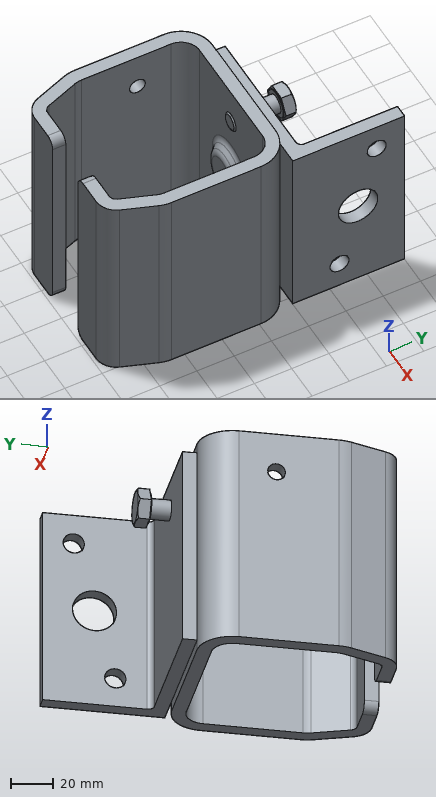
import cadquery as cq
import math

CHANNEL_WIDTH = 96.0
CHANNEL_DEPTH = 96.0
CHANNEL_HEIGHT = 110.0
THICKNESS = 7.0

BACK_OUTER_RADIUS = 17.0
SIDE_BEND_START = 30.9
SIDE_BEND_RADIUS = 17.8
LEAN_ANGLE = 20.0
LIP_OUTER_RADIUS = 10.9
MOUTH_WIDTH = 24.8
LIP_CORNER_RADIUS = 5.0

SIDE_HOLE_DIAMETER = 8.5
SIDE_HOLE_Y = 61.0
DIMPLE_FLAT_DIAMETER = 19.3
DIMPLE_BEND_RADIUS = 4.7
DIMPLE_CONE_WIDTH = 2.2

BRACKET_HEIGHT = 100.0
BRACKET_BASE = 79.5
BRACKET_LEG = 60.0
BRACKET_FILLET = 3.0
MOUNT_HOLE_DIAMETER = 10.1
MOUNT_HOLE_MARGIN = 15.0
MOUNT_HOLE_PITCH_Y = 20.0
CENTRE_HOLE_DIAMETER = 21.0

BOLT_DIAMETER = 10.0
BOLT_Z = 35.0
BOLT_TIP_CHAMFER = 0.8
HEAD_FLATS = 16.0
HEAD_HEIGHT = 6.7
HEAD_GAP = 10.0
WASHER_FACE_DIAMETER = 14.7
WASHER_FACE_HEIGHT = 0.5
HEAD_BEVEL_DIAMETER = 15.8
HEAD_BEVEL_ANGLE = 30.0

SELECT_MARGIN = 0.2

INNER_BACK_Y = CHANNEL_DEPTH - THICKNESS
BRACKET_INNER_Y = CHANNEL_DEPTH + THICKNESS
RIGHT_X = CHANNEL_WIDTH / 2


def y_cylinder(diameter, y_start, y_end, z):
    """Cylinder along Y at X = 0 between two Y positions."""
    return cq.Workplane(cq.Solid.makeCylinder(
        diameter / 2, y_end - y_start, cq.Vector(0, y_start, z), cq.Vector(0, 1, 0)))


def x_cylinder(diameter, x_start, length, y, z):
    """Cylinder along +X."""
    return cq.Workplane(cq.Solid.makeCylinder(
        diameter / 2, length, cq.Vector(x_start, y, z), cq.Vector(1, 0, 0)))


def rounded_envelope(inset):
    """Closed channel section inset from the outside and extruded over the full height."""
    lean = math.radians(LEAN_ANGLE)
    side_x = RIGHT_X - inset
    knee_y = SIDE_BEND_START - (SIDE_BEND_RADIUS - inset) * math.tan(lean / 2)
    front_x = side_x - (knee_y - inset) * math.tan(lean)
    back_y = CHANNEL_DEPTH - inset
    body = (
        cq.Workplane("XY")
        .polyline([
            (-front_x, inset), (front_x, inset), (side_x, knee_y),
            (side_x, back_y), (-side_x, back_y), (-side_x, knee_y),
        ])
        .close()
        .extrude(CHANNEL_HEIGHT / 2, both=True)
    )

    for y, radius in (
        (back_y, BACK_OUTER_RADIUS), (knee_y, SIDE_BEND_RADIUS), (inset, LIP_OUTER_RADIUS),
    ):
        bend_edges = cq.selectors.BoxSelector(
            (-CHANNEL_WIDTH, y - SELECT_MARGIN, -1.5), (CHANNEL_WIDTH, y + SELECT_MARGIN, 1.5))
        body = body.edges("|Z").edges(bend_edges).fillet(radius - inset)
    return body


def make_dimple():
    """Raised round boss with a 45 degree flank and rounded top and foot."""
    slope = math.radians(45)
    bend_run = DIMPLE_BEND_RADIUS * math.sin(slope)
    bend_drop = DIMPLE_BEND_RADIUS * (1 - math.cos(slope))
    half_run = DIMPLE_BEND_RADIUS * math.sin(slope / 2)
    half_drop = DIMPLE_BEND_RADIUS * (1 - math.cos(slope / 2))
    flat_radius = DIMPLE_FLAT_DIAMETER / 2
    cone_top = flat_radius + bend_run
    cone_foot = cone_top + DIMPLE_CONE_WIDTH
    foot_radius = cone_foot + bend_run
    top_y = INNER_BACK_Y - DIMPLE_CONE_WIDTH - 2 * bend_drop
    embed_y = INNER_BACK_Y + THICKNESS / 2
    return (
        cq.Workplane("XY")
        .moveTo(0, top_y)
        .lineTo(flat_radius, top_y)
        .threePointArc((flat_radius + half_run, top_y + half_drop), (cone_top, top_y + bend_drop))
        .lineTo(cone_foot, INNER_BACK_Y - bend_drop)
        .threePointArc((foot_radius - half_run, INNER_BACK_Y - half_drop), (foot_radius, INNER_BACK_Y))
        .lineTo(foot_radius, embed_y)
        .lineTo(0, embed_y)
        .close()
        .revolve(360, (0, 0, 0), (0, 1, 0))
    )


def make_channel():
    """C-shaped rail with a mouth at the front, a side hole, a bolt hole and a dimple."""
    mouth = cq.Workplane("XY").box(MOUTH_WIDTH, 3 * THICKNESS, CHANNEL_HEIGHT)
    channel = rounded_envelope(0).cut(rounded_envelope(THICKNESS)).cut(mouth)
    half_mouth = MOUTH_WIDTH / 2
    lip_corners = cq.selectors.BoxSelector(
        (-half_mouth - SELECT_MARGIN, -SELECT_MARGIN, -CHANNEL_HEIGHT),
        (half_mouth + SELECT_MARGIN, THICKNESS + SELECT_MARGIN, CHANNEL_HEIGHT))
    channel = channel.edges("|Y").edges(lip_corners).fillet(LIP_CORNER_RADIUS)
    side_hole = x_cylinder(SIDE_HOLE_DIAMETER, -RIGHT_X, THICKNESS, SIDE_HOLE_Y, BOLT_Z)
    bolt_hole = y_cylinder(BOLT_DIAMETER, INNER_BACK_Y, CHANNEL_DEPTH, z=BOLT_Z)
    return channel.union(make_dimple()).cut(side_hole).cut(bolt_hole)


def make_bracket():
    """L-shaped bracket lying on the back of the channel."""
    left_x = RIGHT_X - BRACKET_BASE
    leg_x = RIGHT_X - THICKNESS
    end_y = CHANNEL_DEPTH + BRACKET_LEG
    bracket = (
        cq.Workplane("XY")
        .moveTo(left_x, CHANNEL_DEPTH)
        .lineTo(RIGHT_X, CHANNEL_DEPTH)
        .lineTo(RIGHT_X, end_y)
        .lineTo(leg_x, end_y)
        .lineTo(leg_x, BRACKET_INNER_Y + BRACKET_FILLET)
        .radiusArc((leg_x - BRACKET_FILLET, BRACKET_INNER_Y), BRACKET_FILLET)
        .lineTo(left_x, BRACKET_INNER_Y)
        .close()
        .extrude(BRACKET_HEIGHT / 2, both=True)
    )
    upper_y = end_y - MOUNT_HOLE_MARGIN
    mount_z = BRACKET_HEIGHT / 2 - MOUNT_HOLE_MARGIN
    leg_holes = (
        (MOUNT_HOLE_DIAMETER, upper_y, mount_z),
        (CENTRE_HOLE_DIAMETER, upper_y - MOUNT_HOLE_PITCH_Y / 2, 0),
        (MOUNT_HOLE_DIAMETER, upper_y - MOUNT_HOLE_PITCH_Y, -mount_z),
    )
    for diameter, y, z in leg_holes:
        bracket = bracket.cut(x_cylinder(diameter, leg_x, THICKNESS, y, z))
    return bracket.cut(y_cylinder(BOLT_DIAMETER, CHANNEL_DEPTH, BRACKET_INNER_Y, z=BOLT_Z))


def make_bolt():
    """Hexagon bolt along Y, its chamfered tip standing just proud of the channel wall."""
    head_y = BRACKET_INNER_Y + HEAD_GAP
    hex_y = head_y + WASHER_FACE_HEIGHT
    hex_height = HEAD_HEIGHT - WASHER_FACE_HEIGHT
    head_corners = HEAD_FLATS / math.cos(math.radians(30))
    shank = y_cylinder(BOLT_DIAMETER, INNER_BACK_Y - BOLT_TIP_CHAMFER, hex_y, z=BOLT_Z)
    shank = shank.faces("<Y").chamfer(BOLT_TIP_CHAMFER)
    washer_face = y_cylinder(WASHER_FACE_DIAMETER, head_y, hex_y, z=BOLT_Z)
    head = (
        cq.Workplane("XZ", origin=(0, hex_y, BOLT_Z))
        .polygon(6, head_corners)
        .extrude(-hex_height)
    )
    bevel_width = (head_corners - HEAD_BEVEL_DIAMETER) / 2
    bevel = y_cylinder(head_corners, hex_y, hex_y + hex_height, z=BOLT_Z)
    bevel = bevel.faces(">Y").chamfer(bevel_width * math.tan(math.radians(HEAD_BEVEL_ANGLE)), bevel_width)
    return shank.union(washer_face).union(head.intersect(bevel))


channel = make_channel()
bracket = make_bracket()
bolt = make_bolt()

result = cq.Compound.makeCompound([channel.val(), bracket.val(), bolt.val()])